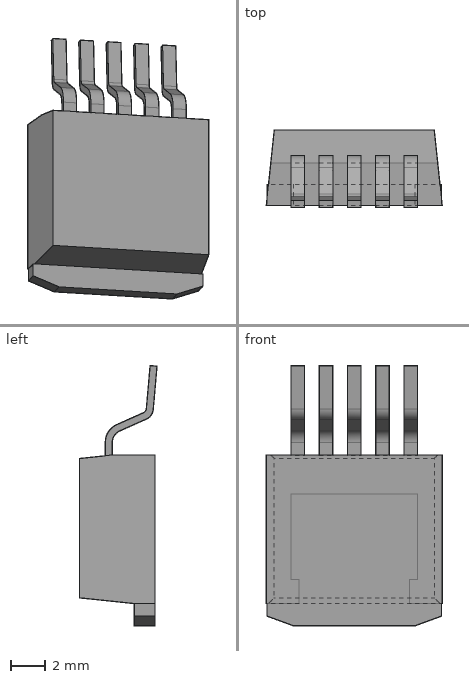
import cadquery as cq
import math


body_width = 10.3
body_depth = 4.43
body_height = 8.7
draft_angle = math.radians(6)

tab_thickness = 1.23
tab_overhang = 1.3
tab_width = 10.22
tab_end_width = 7.1
tab_corner_height = 0.57
tab_neck_width = 6.46
tab_neck_height = 1.42
tab_pad_width = 7.4
tab_pad_height = 5.0

lead_count = 5
lead_pitch = 1.65
lead_width = 0.8
lead_thickness = 0.42
lead_root_front = 2.5
lead_height = 5.23
lead_overhang = 0.12
lead_embedment = 0.5
foot_length = 2.53
root_bend_radius = 0.95
foot_bend_radius = 0.5
run_angle = math.radians(24)
foot_angle = math.radians(85)
root_angle = math.radians(90)

body_bottom = tab_overhang
body_top = body_bottom + body_height


def make_body():
    """Block with drafted sides; the ends are drafted only behind the tab and lead root."""
    slope = math.tan(draft_angle)
    back_top = body_top - (body_depth - lead_root_front) * slope
    back_bottom = body_bottom + (body_depth - tab_thickness) * slope
    side_profile = (
        cq.Workplane("YZ")
        .polyline([
            (0, body_bottom),
            (tab_thickness, body_bottom),
            (body_depth, back_bottom),
            (body_depth, back_top),
            (lead_root_front, body_top),
            (0, body_top),
        ])
        .close()
        .extrude(body_width / 2, both=True)
    )
    half_front = body_width / 2
    half_back = half_front - body_depth * slope
    plan_profile = (
        cq.Workplane("XY", origin=(0, 0, body_bottom))
        .polyline([
            (-half_front, 0),
            (half_front, 0),
            (half_back, body_depth),
            (-half_back, body_depth),
        ])
        .close()
        .extrude(body_height)
    )
    return side_profile.intersect(plan_profile)


def make_tab():
    """Flat plate: wide end with cut corners, narrow neck and pad, flush with the body."""
    neck_top = body_bottom + tab_neck_height
    pad_top = neck_top + tab_pad_height
    right_side = [
        (tab_end_width / 2, 0),
        (tab_width / 2, tab_corner_height),
        (tab_width / 2, body_bottom),
        (tab_neck_width / 2, body_bottom),
        (tab_neck_width / 2, neck_top),
        (tab_pad_width / 2, neck_top),
        (tab_pad_width / 2, pad_top),
    ]
    left_side = [(-x, z) for x, z in reversed(right_side)]
    return cq.Workplane("XZ").polyline(right_side + left_side).close().extrude(-tab_thickness)


def step_back(point, angle, length):
    """Move a (y, z) point back toward the root along a straight of the given elevation."""
    return (point[0] + length * math.cos(angle), point[1] - length * math.sin(angle))


def bend_back(point, signed_radius, root_side_angle, tip_side_angle):
    """Move a (y, z) point back through a bend; the radius is negative where elevation falls."""
    return (
        point[0] + signed_radius * (math.sin(tip_side_angle) - math.sin(root_side_angle)),
        point[1] - signed_radius * (math.cos(root_side_angle) - math.cos(tip_side_angle)),
    )


def lead_stations():
    """Centreline points from root to tip, each paired with the elevation there."""
    half = lead_thickness / 2
    tip = (
        -lead_overhang + half * math.sin(foot_angle),
        body_top + lead_height - half * math.cos(foot_angle),
    )
    foot_start = step_back(tip, foot_angle, foot_length)
    run_end = bend_back(foot_start, foot_bend_radius, run_angle, foot_angle)

    root_y = lead_root_front + half
    root_bend_depth = root_bend_radius * (math.sin(root_angle) - math.sin(run_angle))
    run_length = (root_y - root_bend_depth - run_end[0]) / math.cos(run_angle)
    run_start = step_back(run_end, run_angle, run_length)
    root_end = bend_back(run_start, -root_bend_radius, root_angle, run_angle)
    root_start = (root_y, body_top - lead_embedment)
    return [
        (root_start, root_angle),
        (root_end, root_angle),
        (run_start, run_angle),
        (run_end, run_angle),
        (foot_start, foot_angle),
        (tip, foot_angle),
    ]


def offset_station(station, distance):
    """Point at a perpendicular distance toward +Y from a centreline station."""
    (y, z), angle = station
    return (y + distance * math.sin(angle), z + distance * math.cos(angle))


def trace_face(outline, points):
    """Draw one face of the strip from its first point: straights joined by tangent bends."""
    _, straight_1, bend_1, straight_2, bend_2, straight_3 = points
    return (
        outline.lineTo(*straight_1)
        .tangentArcPoint(bend_1, relative=False)
        .lineTo(*straight_2)
        .tangentArcPoint(bend_2, relative=False)
        .lineTo(*straight_3)
    )


def make_lead(center_x):
    """Constant-thickness strip: straight root, bend, sloping run, bend, straight foot."""
    stations = lead_stations()
    back = [offset_station(s, lead_thickness / 2) for s in stations]
    front = [offset_station(s, -lead_thickness / 2) for s in reversed(stations)]

    outline = cq.Workplane("YZ", origin=(center_x, 0, 0)).moveTo(*back[0])
    outline = trace_face(outline, back).lineTo(*front[0])
    outline = trace_face(outline, front)
    return outline.close().extrude(lead_width / 2, both=True)


tab = make_tab()
result = make_body().cut(tab).union(tab, clean=False)
for index in range(lead_count):
    lead_x = (index - (lead_count - 1) / 2) * lead_pitch
    result = result.union(make_lead(lead_x), clean=False)